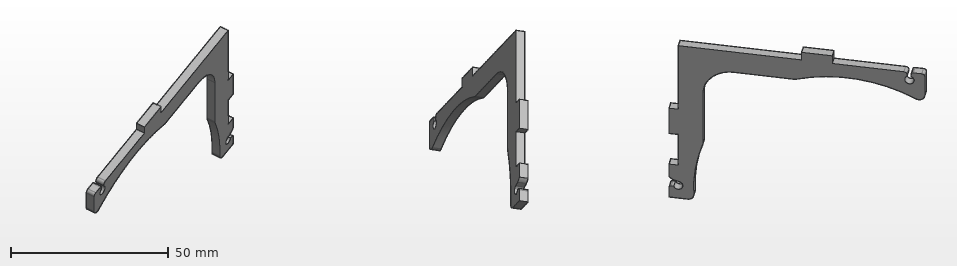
import math

import cadquery as cq

THICKNESS = 3.0
TOP_ARM_LENGTH = 80.0
BACK_ARM_LENGTH = 60.0
ARM_WIDTH = 8.0
INNER_CORNER_RADIUS = 10.0

SCOOP_RADIUS = 50.0
WAIST_WIDTH = 5.0
SCOOP_CENTRE = WAIST_WIDTH + SCOOP_RADIUS
SCOOP_BLEND_RADIUS = 2.0

TAB_HEIGHT = 3.0
TAB_LENGTH = 10.0
TOP_TAB_START = 40.0
BACK_TAB_START = 25.0
HOOK_TAB_START = 47.0

SEAT_RADIUS = 1.5
SEAT_SETBACK = 5.0
TOP_SEAT_DEPTH = 3.0
MOUTH_OFFSET = 0.5
MOUTH_CORNER_RADIUS = 0.75
TOP_LIP_RADIUS = 1.1
BACK_LIP_RADIUS = 4.0
BACK_LIP_START = 51.85
BACK_LIP_SLOPE = 16.0

END_RADIUS = 2.0
TIP_CORNER_RADIUS = 1.0


def to_yz(reach, drop):
    """Profile point as workplane coordinates of the YZ plane."""
    return (-reach, -drop)


def polar(centre, radius, degrees):
    """Point on a circle; degrees turn from the reach direction towards the drop direction."""
    angle = math.radians(degrees)
    return (centre[0] + radius * math.cos(angle), centre[1] + radius * math.sin(angle))


def prism(profile):
    return profile.close().extrude(THICKNESS)


def polygon(points):
    return prism(cq.Workplane("YZ").polyline([to_yz(*point) for point in points]))


def disc(centre, radius):
    return cq.Workplane("YZ").center(*to_yz(*centre)).circle(radius).extrude(THICKNESS)


def block(reach_start, drop_start, reach_end, drop_end):
    return polygon([
        (reach_start, drop_start),
        (reach_end, drop_start),
        (reach_end, drop_end),
        (reach_start, drop_end),
    ])


def round_corner(body, reach, drop, radius):
    """Fillet the through-thickness edge that passes through a profile point."""
    y, z = to_yz(reach, drop)
    edge = cq.selectors.NearestToPointSelector((THICKNESS / 2, y, z))
    return body.edges("|X").edges(edge).fillet(radius)


def scoop_offset(position):
    """Distance from the outer edge of an arm to the scoop circle at a position along the arm."""
    return SCOOP_CENTRE - math.sqrt(SCOOP_RADIUS**2 - (position - SCOOP_CENTRE) ** 2)


def make_arms():
    """The L with its scooped inner edges, tabs and rounded ends."""
    body = polygon([
        (0, 0),
        (TOP_ARM_LENGTH, 0),
        (TOP_ARM_LENGTH, 2 * ARM_WIDTH),
        (SCOOP_CENTRE, 2 * ARM_WIDTH),
        (SCOOP_CENTRE, ARM_WIDTH),
        (ARM_WIDTH, ARM_WIDTH),
        (ARM_WIDTH, BACK_ARM_LENGTH),
        (0, BACK_ARM_LENGTH),
    ])
    body = body.cut(disc((SCOOP_CENTRE, SCOOP_CENTRE), SCOOP_RADIUS))
    body = body.union(block(TOP_TAB_START, -TAB_HEIGHT, TOP_TAB_START + TAB_LENGTH, ARM_WIDTH / 2))
    body = body.union(block(-TAB_HEIGHT, BACK_TAB_START, ARM_WIDTH / 2, BACK_TAB_START + TAB_LENGTH))
    body = body.union(block(-TAB_HEIGHT, HOOK_TAB_START, ARM_WIDTH / 2, BACK_ARM_LENGTH))

    scoop_start = SCOOP_CENTRE - math.sqrt(SCOOP_RADIUS**2 - (SCOOP_CENTRE - ARM_WIDTH) ** 2)
    body = round_corner(body, ARM_WIDTH, ARM_WIDTH, INNER_CORNER_RADIUS)
    body = round_corner(body, scoop_start, ARM_WIDTH, SCOOP_BLEND_RADIUS)
    body = round_corner(body, ARM_WIDTH, scoop_start, SCOOP_BLEND_RADIUS)
    body = round_corner(body, TOP_ARM_LENGTH, scoop_offset(TOP_ARM_LENGTH), END_RADIUS)
    body = round_corner(body, TOP_ARM_LENGTH, 0, TIP_CORNER_RADIUS)
    return round_corner(body, scoop_offset(BACK_ARM_LENGTH), BACK_ARM_LENGTH, END_RADIUS)


def cut_top_notch(body):
    """Keyhole near the free end of the top arm; its inner lip is an arc tangent to the seat."""
    seat = (TOP_ARM_LENGTH - SEAT_SETBACK, TOP_SEAT_DEPTH)
    mouth_wall = seat[0] + MOUTH_OFFSET
    rise = TOP_SEAT_DEPTH - TOP_LIP_RADIUS
    run = math.sqrt((SEAT_RADIUS + TOP_LIP_RADIUS) ** 2 - rise**2)
    lip = (seat[0] - run, TOP_LIP_RADIUS)
    tangent_angle = math.degrees(math.atan2(rise, run))
    mouth = prism(
        cq.Workplane("YZ")
        .moveTo(*to_yz(lip[0], 0))
        .threePointArc(to_yz(*polar(lip, TOP_LIP_RADIUS, 0)),
                       to_yz(*polar(lip, TOP_LIP_RADIUS, tangent_angle)))
        .lineTo(*to_yz(*seat))
        .lineTo(*to_yz(mouth_wall, TOP_SEAT_DEPTH))
        .lineTo(*to_yz(mouth_wall, 0))
    )
    body = body.cut(mouth.union(disc(seat, SEAT_RADIUS)))
    return round_corner(body, mouth_wall, 0, MOUTH_CORNER_RADIUS)


def cut_back_notch(body):
    """Keyhole near the foot of the back arm; a curved, sloping lip leads into the seat."""
    seat = (0, BACK_ARM_LENGTH - SEAT_SETBACK)
    mouth_wall = seat[1] + MOUTH_OFFSET
    tangent = polar(seat, SEAT_RADIUS, BACK_LIP_SLOPE - 90)
    slope = math.tan(math.radians(BACK_LIP_SLOPE))
    lip_end_reach = -TAB_HEIGHT / 2
    lip_end = (lip_end_reach, tangent[1] - slope * (tangent[0] - lip_end_reach))
    mouth = prism(
        cq.Workplane("YZ")
        .moveTo(*to_yz(-TAB_HEIGHT, BACK_LIP_START))
        .radiusArc(to_yz(*lip_end), BACK_LIP_RADIUS)
        .lineTo(*to_yz(*tangent))
        .lineTo(*to_yz(*seat))
        .lineTo(*to_yz(0, mouth_wall))
        .lineTo(*to_yz(-TAB_HEIGHT, mouth_wall))
    )
    body = body.cut(mouth.union(disc(seat, SEAT_RADIUS)))
    return round_corner(body, -TAB_HEIGHT, mouth_wall, MOUTH_CORNER_RADIUS)


result = cut_back_notch(cut_top_notch(make_arms()))